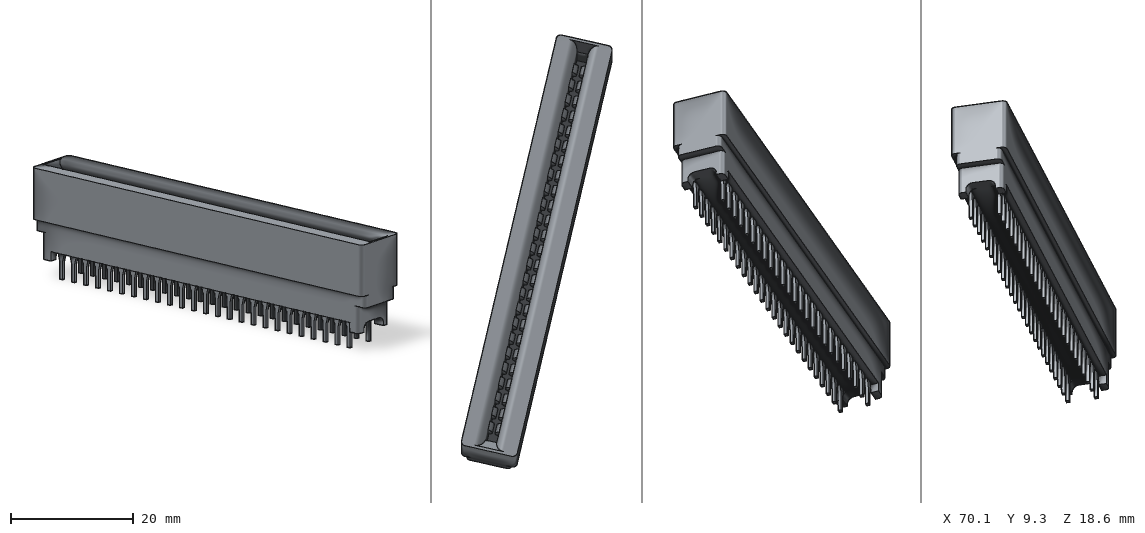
import cadquery as cq
import math

length = 70.1
width = 9.3
overall_height = 18.65
shoulder_depth = 8.75
step_depth = 10.9
floor_depth = 13.9
leg_depth = 15.5
side_inset = 0.85
end_inset = 1.4
corner_radius = 0.8
lower_width = width - 2 * side_inset
lower_length = length - 2 * end_inset

leg_length = 1.95
arch_width = 5.0
arch_corner_radius = 1.2

mouth_length = 69.2
mouth_width = 4.8
slot_length = 66.25
slot_width = 1.9
slot_depth = 8.4
roll_inset = (mouth_width - slot_width) / 2
roll_angle = math.radians(84)
roll_radius = roll_inset / math.sin(roll_angle)
mouth_depth = roll_radius * (1 - math.cos(roll_angle))

contact_count = 25
contact_span = 61.0
contact_pitch = contact_span / (contact_count - 1)
contact_width = 1.5
contact_gap = 0.4
bulge_top_depth = 1.8
bulge_height = 3.65
bulge_reach = (slot_width - contact_gap) / 2

tail_width = 0.6
tail_thickness = 0.525
tail_outer_width = 5.3
tail_taper_length = 1.7
tail_embed = 0.7


def rounded_block(block_length, block_width, top_depth, bottom_depth):
    """Block with rounded vertical corners between two depths."""
    return (
        cq.Workplane("XY", origin=(0, 0, -bottom_depth))
        .rect(block_length, block_width)
        .extrude(bottom_depth - top_depth)
        .edges("|Z")
        .fillet(corner_radius)
    )


def make_housing():
    upper = rounded_block(length, width, 0, shoulder_depth)
    middle = rounded_block(length, lower_width, shoulder_depth, step_depth)
    lower = rounded_block(lower_length, lower_width, step_depth, leg_depth)
    return upper.union(middle).union(lower)


def cut_underside(housing):
    """Clear the space between the end legs and arch the legs themselves."""
    leg_height = leg_depth - floor_depth
    clearance = (
        cq.Workplane("XY", origin=(0, 0, -leg_depth))
        .rect(lower_length - 2 * leg_length, width)
        .extrude(leg_height)
    )
    arch = (
        cq.Workplane("XY", origin=(0, 0, -leg_depth))
        .rect(length, arch_width)
        .extrude(leg_height)
        .edges("|X and >Z")
        .fillet(arch_corner_radius)
    )
    return housing.cut(clearance).cut(arch)


def make_slot():
    """Cutting body of the card slot, including its rolled mouth."""
    half_mouth = mouth_width / 2
    half_slot = slot_width / 2
    roll_middle_y = half_mouth - roll_radius * math.sin(roll_angle / 2)
    roll_middle_z = -roll_radius * (1 - math.cos(roll_angle / 2))
    rolled_sides = (
        cq.Workplane("YZ", origin=(-mouth_length / 2, 0, 0))
        .moveTo(-half_mouth, 0)
        .threePointArc((-roll_middle_y, roll_middle_z), (-half_slot, -mouth_depth))
        .lineTo(half_slot, -mouth_depth)
        .threePointArc((roll_middle_y, roll_middle_z), (half_mouth, 0))
        .close()
        .extrude(mouth_length)
    )
    sloped_ends = (
        cq.Workplane("XZ", origin=(0, width / 2, 0))
        .moveTo(-mouth_length / 2, 0)
        .lineTo(-slot_length / 2, -mouth_depth)
        .lineTo(slot_length / 2, -mouth_depth)
        .lineTo(mouth_length / 2, 0)
        .close()
        .extrude(width)
    )
    channel = (
        cq.Workplane("XY", origin=(0, 0, -slot_depth))
        .rect(slot_length, slot_width)
        .extrude(slot_depth - mouth_depth)
    )
    return rolled_sides.intersect(sloped_ends).union(channel)


def make_bulge():
    """Convex contact bulge on the +Y slot wall, centred on X = 0."""
    wall = slot_width / 2
    bulge_bottom_depth = bulge_top_depth + bulge_height
    bulge_middle_depth = bulge_top_depth + bulge_height / 2
    return (
        cq.Workplane("YZ", origin=(-contact_width / 2, 0, 0))
        .moveTo(wall, -bulge_top_depth)
        .threePointArc((wall - bulge_reach, -bulge_middle_depth), (wall, -bulge_bottom_depth))
        .close()
        .extrude(contact_width)
    )


def make_tail():
    """Solder tail of the +Y row, tapering below the housing floor, centred on X = 0."""
    half_root = contact_width / 2
    half_tail = tail_width / 2
    taper_end = floor_depth + tail_taper_length
    return (
        cq.Workplane("XZ", origin=(0, tail_outer_width / 2, 0))
        .moveTo(-half_root, -floor_depth + tail_embed)
        .lineTo(-half_root, -floor_depth)
        .lineTo(-half_tail, -taper_end)
        .lineTo(-half_tail, -overall_height)
        .lineTo(half_tail, -overall_height)
        .lineTo(half_tail, -taper_end)
        .lineTo(half_root, -floor_depth)
        .lineTo(half_root, -floor_depth + tail_embed)
        .close()
        .extrude(tail_thickness)
    )


def contact_rows(contact):
    """Copies of a +Y contact along both rows, the -Y row being its mirror image."""
    first_x = -contact_span / 2
    mirrored = contact.mirror("XZ")
    copies = []
    for index in range(contact_count):
        offset = (first_x + index * contact_pitch, 0, 0)
        copies.append(contact.translate(offset).val())
        copies.append(mirrored.translate(offset).val())
    return copies


housing = cut_underside(make_housing()).cut(make_slot())
contacts = contact_rows(make_bulge()) + contact_rows(make_tail())
result = cq.Workplane(housing.val().fuse(*contacts))